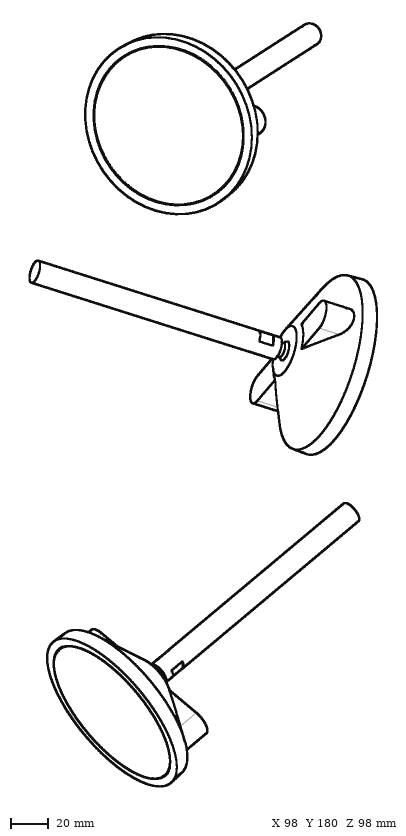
import cadquery as cq

total_length = 180.0

base_diameter = 98.0
rim_top_diameter = 97.0
rim_height = 8.5
cone_top_diameter = 27.7
base_height = 30.0

pad_diameter = 87.5
pad_recess_diameter = 88.0
groove_depth = 0.9

lug_span = 88.2
lug_width = 16.7
lug_top = 27.9
lug_bottom = rim_height / 2

ball_diameter = 12.0
ball_center = 27.2
neck_diameter = 7.7
stem_diameter = 12.5
stem_start = 35.0

flat_start = 39.8
flat_length = 8.1
across_flats = 10.3


def cylinder(diameter, start, end):
    """Cylinder on the Y axis between two heights."""
    return cq.Workplane("XZ", origin=(0, start, 0)).circle(diameter / 2).extrude(start - end)


def make_base():
    """Revolved rim and cone with the ring groove cut into the sole."""
    profile = [
        (0, 0),
        (base_diameter / 2, 0),
        (rim_top_diameter / 2, rim_height),
        (cone_top_diameter / 2, base_height),
        (0, base_height),
    ]
    body = cq.Workplane("XY").polyline(profile).close().revolve(360, (0, 0, 0), (0, 1, 0))
    pad = cylinder(pad_diameter, 0, groove_depth)
    groove = cylinder(pad_recess_diameter, 0, groove_depth).cut(pad)
    return body.cut(groove)


def make_lugs():
    """Round-ended bar whose ends stand clear of the cone."""
    plane = cq.Workplane("XZ", origin=(0, lug_bottom, 0))
    return plane.slot2D(lug_span, lug_width).extrude(lug_bottom - lug_top)


def make_stem():
    """Ball, neck and shaft with two wrench flats."""
    ball = cq.Workplane("XY", origin=(0, ball_center, 0)).sphere(ball_diameter / 2)
    neck = cylinder(neck_diameter, ball_center, stem_start)
    shaft = cylinder(stem_diameter, stem_start, total_length)
    for side in (-1, 1):
        cutter_x = side * (across_flats + stem_diameter) / 2
        cutter = cq.Workplane("XY").box(stem_diameter, flat_length, stem_diameter)
        shaft = shaft.cut(cutter.translate((cutter_x, flat_start + flat_length / 2, 0)))
    return ball.union(neck).union(shaft)


result = make_base().union(make_lugs()).union(make_stem())